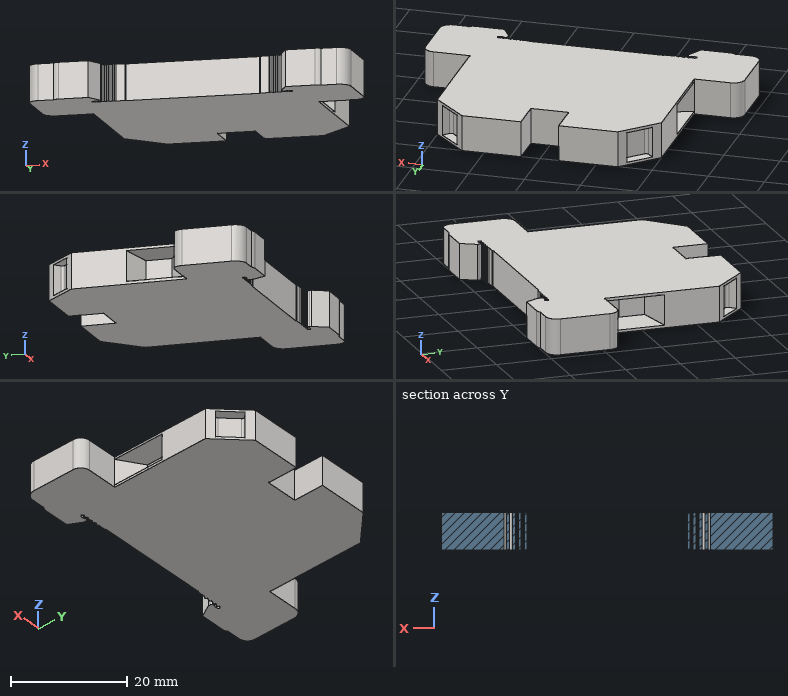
import cadquery as cq
import math


thickness = 6.5
overall_width = 57.0
overall_height = 40.3
body_width = 40.0
body_chamfer = 6.1
chamfer_angle = 45
shoulder_y = 13.35
shoulder_radius = 2.0

notch_width = 6.7
notch_depth = 6.4

step_y = 0.35
step_end_x = 23.75
sole_outer_x = 22.75
sole_inner_x = 17.5

hook_tip_x = 16.0
hook_tip_y = 2.75
lip_y = 3.6
lip_round_width = 0.35
lip_round_height = 0.5

relief_end_x = 17.8
relief_floor_y = 3.4
relief_step_x = 17.0
relief_step_width = 0.2

seat_y = 4.0
seat_end_x = 12.0
center_y = 4.15
center_step_width = 0.15
tooth_count = 4
tooth_pitch = 1.0
first_tooth_x = 17.05
tooth_base = 0.75
tooth_tip = 0.3
tooth_flank_height = 0.15
tooth_height = 0.275

pocket_wall = 0.5
funnel_top_y = 24.2
funnel_depth = 4.0
funnel_floor_bottom_y = 17.3
funnel_floor_top_y = 22.0
funnel_floor_wall = 1.5

screw_pocket_length = 5.1
screw_pocket_depth = 1.95
screw_pocket_fillet = 0.5

body_side_x = -body_width / 2
outer_x = -overall_width / 2
cos45 = math.sqrt(0.5)


def round_corner(outline, center_x, center_y, start, end):
    """Quarter arc about the given center; start and end are angles in degrees."""
    middle = math.radians((start + end) / 2)
    stop = math.radians(end)
    radius = shoulder_radius
    return outline.threePointArc(
        (center_x + radius * math.cos(middle), center_y + radius * math.sin(middle)),
        (center_x + radius * math.cos(stop), center_y + radius * math.sin(stop)),
    )


def add_seat_teeth(outline):
    """Round-tipped teeth hanging from the rail seat, from the relief slot inward."""
    for index in range(tooth_count):
        tooth_x = -first_tooth_x + index * tooth_pitch
        outline = (
            outline.lineTo(tooth_x - tooth_base / 2, seat_y)
            .lineTo(tooth_x - tooth_tip / 2, seat_y - tooth_flank_height)
            .threePointArc(
                (tooth_x, seat_y - tooth_height),
                (tooth_x + tooth_tip / 2, seat_y - tooth_flank_height),
            )
            .lineTo(tooth_x + tooth_base / 2, seat_y)
        )
    return outline


def half_plate():
    """Left half of the plate, from the notch around to the rail seat."""
    round_x = outer_x + shoulder_radius
    relief_radius = (seat_y - relief_floor_y) / 2
    relief_center_x = -relief_end_x + relief_radius

    outline = (
        cq.Workplane("XY")
        .moveTo(0, overall_height - notch_depth)
        .lineTo(-notch_width / 2, overall_height - notch_depth)
        .lineTo(-notch_width / 2, overall_height)
        .lineTo(body_side_x + body_chamfer, overall_height)
        .lineTo(body_side_x, overall_height - body_chamfer)
        .lineTo(body_side_x, shoulder_y)
        .lineTo(round_x, shoulder_y)
    )
    outline = round_corner(outline, round_x, shoulder_y - shoulder_radius, 90, 180)
    outline = outline.lineTo(outer_x, step_y + shoulder_radius)
    outline = round_corner(outline, round_x, step_y + shoulder_radius, 180, 270)

    run = step_end_x - sole_outer_x
    blend_radius = (run**2 + step_y**2) / (2 * step_y)
    half_angle = math.atan2(run, blend_radius - step_y) / 2
    outline = (
        outline.lineTo(-step_end_x, step_y)
        .threePointArc(
            (
                -sole_outer_x - blend_radius * math.sin(half_angle),
                blend_radius * (1 - math.cos(half_angle)),
            ),
            (-sole_outer_x, 0),
        )
        .lineTo(-sole_inner_x, 0)
    )

    outline = (
        outline.lineTo(-hook_tip_x, hook_tip_y)
        .lineTo(-hook_tip_x, lip_y - lip_round_height)
        .threePointArc(
            (
                -hook_tip_x - lip_round_width * (1 - cos45),
                lip_y - lip_round_height * (1 - cos45),
            ),
            (-hook_tip_x - lip_round_width, lip_y),
        )
        .lineTo(-relief_step_x + relief_step_width, lip_y)
        .lineTo(-relief_step_x, relief_floor_y)
        .lineTo(relief_center_x, relief_floor_y)
        .threePointArc(
            (-relief_end_x, relief_floor_y + relief_radius),
            (relief_center_x, seat_y),
        )
    )

    outline = (
        add_seat_teeth(outline)
        .lineTo(-seat_end_x, seat_y)
        .lineTo(-seat_end_x + center_step_width, center_y)
        .lineTo(0, center_y)
        .close()
    )
    return outline.extrude(thickness)


def wire_funnel():
    """Tapered wire entry in the side wall; its lower edge meets the shoulder."""
    mouth_height = funnel_top_y - shoulder_y
    mouth_y = (funnel_top_y + shoulder_y) / 2
    floor_height = funnel_floor_top_y - funnel_floor_bottom_y
    floor_y = (funnel_floor_top_y + funnel_floor_bottom_y) / 2
    return (
        cq.Workplane("YZ", origin=(body_side_x, mouth_y, thickness / 2))
        .rect(mouth_height, thickness - 2 * pocket_wall)
        .workplane(offset=funnel_depth)
        .center(floor_y - mouth_y, 0)
        .rect(floor_height, thickness - 2 * funnel_floor_wall)
        .loft(ruled=True)
    )


def screw_pocket():
    """Rectangular pocket centered on the chamfer, with rounded floor edges along Z."""
    return (
        cq.Workplane("XY")
        .box(screw_pocket_length, 2 * screw_pocket_depth, thickness - 2 * pocket_wall)
        .edges("|Z and <Y")
        .fillet(screw_pocket_fillet)
        .rotate((0, 0, 0), (0, 0, 1), chamfer_angle)
        .translate(
            (
                body_side_x + body_chamfer / 2,
                overall_height - body_chamfer / 2,
                thickness / 2,
            )
        )
    )


left_half = half_plate().cut(wire_funnel()).cut(screw_pocket())
result = left_half.union(left_half.mirror("YZ")).clean()